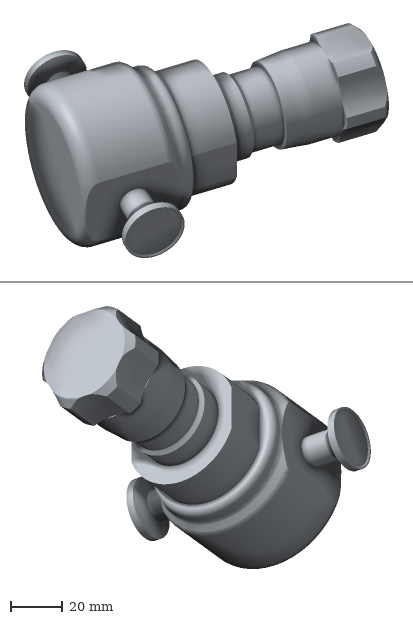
import cadquery as cq


BODY_TOP = 37.15
SHOULDER_TOP = 41.35
BONNET_TOP = 47.7
COLLAR_BOTTOM = 48.3
COLLAR_TOP = 67.5
STEM_CHAMFER_BOTTOM = 77.1
STEM_CHAMFER_TOP = 78.7
SLEEVE_BOTTOM = 91.2
SLEEVE_TAPER_TOP = 102.4
KNOB_BOTTOM = 115.25
KNOB_TOP = 134.3

BODY_RADIUS = 33.275
BONNET_RADIUS = 29.4
NECK_RADIUS = 23.4
COLLAR_RADIUS = 25.4
STEM_BASE_RADIUS = 17.5
STEM_RADIUS = 15.9
SLEEVE_BOTTOM_RADIUS = 18.0
SLEEVE_RADIUS = 19.15
KNOB_RADIUS = 22.1

BASE_FILLET = 6.35
SHOULDER_FILLET = 3.175
KNOB_CHAMFER = 3.0
EDGE_MARGIN = 0.1

BODY_FLAT = 29.5
COLLAR_FLAT = 23.7

SCALLOP_COUNT = 6
SCALLOP_RADIUS = 22.5
SCALLOP_DEPTH_RADIUS = 18.8

PORT_Y = 21.5
PORT_END_X = 98.37 / 2
PORT_TUBE_RADIUS = 6.35
FLANGE_RADIUS = 12.7
FLANGE_RIM = 3.1
FLANGE_THICKNESS = 5.5
FACE_RECESS_RADIUS = 12.05
FACE_RECESS_FLOOR_RADIUS = 11.5
FACE_RECESS_DEPTH = 0.6


def revolve_about_y(points):
    """Solid of revolution about Y from (radius, y) points, closed along the axis."""
    return cq.Workplane("XY").polyline(points).close().revolve(360, (0, 0, 0), (0, 1, 0))


def cylinder(radius, bottom, top):
    """Round bar on the Y axis between two stations."""
    return revolve_about_y([(0, bottom), (radius, bottom), (radius, top), (0, top)])


def cut_side_flats(solid, flat_distance):
    """Keep only the material between two flats facing -X and +X."""
    slab_length = 2 * KNOB_TOP
    return solid.intersect(cq.Workplane("XY").box(2 * flat_distance, slab_length, slab_length))


def circular_edges_at(solid, radius, y):
    """Edges of the turned solid lying at the given radius and station."""
    reach = radius + EDGE_MARGIN
    low_corner = (-reach, y - EDGE_MARGIN, -reach)
    high_corner = (reach, y + EDGE_MARGIN, reach)
    return solid.edges(cq.selectors.BoxSelector(low_corner, high_corner, boundingbox=True))


def make_body():
    body = revolve_about_y([
        (0, 0),
        (BODY_RADIUS, 0),
        (BODY_RADIUS, BODY_TOP),
        (BONNET_RADIUS, SHOULDER_TOP),
        (BONNET_RADIUS, BONNET_TOP),
        (0, BONNET_TOP),
    ])
    body = circular_edges_at(body, BODY_RADIUS, 0).fillet(BASE_FILLET)
    body = circular_edges_at(body, BODY_RADIUS, BODY_TOP).fillet(SHOULDER_FILLET)
    body = circular_edges_at(body, BONNET_RADIUS, SHOULDER_TOP).fillet(SHOULDER_FILLET)
    body = circular_edges_at(body, BONNET_RADIUS, BONNET_TOP).fillet(SHOULDER_FILLET)
    return cut_side_flats(body, BODY_FLAT)


def make_collar():
    neck = cylinder(NECK_RADIUS, BONNET_TOP, COLLAR_BOTTOM)
    collar = cylinder(COLLAR_RADIUS, COLLAR_BOTTOM, COLLAR_TOP)
    return neck.union(cut_side_flats(collar, COLLAR_FLAT))


def make_stem_and_sleeve():
    return revolve_about_y([
        (0, COLLAR_TOP),
        (STEM_BASE_RADIUS, COLLAR_TOP),
        (STEM_BASE_RADIUS, STEM_CHAMFER_BOTTOM),
        (STEM_RADIUS, STEM_CHAMFER_TOP),
        (STEM_RADIUS, SLEEVE_BOTTOM),
        (SLEEVE_BOTTOM_RADIUS, SLEEVE_BOTTOM),
        (SLEEVE_RADIUS, SLEEVE_TAPER_TOP),
        (SLEEVE_RADIUS, KNOB_BOTTOM),
        (0, KNOB_BOTTOM),
    ])


def make_knob():
    knob = cylinder(KNOB_RADIUS, KNOB_BOTTOM, KNOB_TOP).faces(">Y").chamfer(KNOB_CHAMFER)
    scallop = cylinder(SCALLOP_RADIUS, KNOB_BOTTOM, KNOB_TOP)
    scallop = scallop.translate((0, 0, SCALLOP_DEPTH_RADIUS + SCALLOP_RADIUS))
    for index in range(SCALLOP_COUNT):
        angle = index * 360 / SCALLOP_COUNT
        knob = knob.cut(scallop.rotate((0, 0, 0), (0, 1, 0), angle))
    return knob


def make_port():
    """Flanged port on the +X side, turned about its own X axis."""
    recess_floor = PORT_END_X - FACE_RECESS_DEPTH
    port = (
        cq.Workplane("XY")
        .polyline([
            (0, 0),
            (0, PORT_TUBE_RADIUS),
            (PORT_END_X - FLANGE_THICKNESS, PORT_TUBE_RADIUS),
            (PORT_END_X - FLANGE_RIM, FLANGE_RADIUS),
            (PORT_END_X, FLANGE_RADIUS),
            (PORT_END_X, FACE_RECESS_RADIUS),
            (recess_floor, FACE_RECESS_FLOOR_RADIUS),
            (recess_floor, 0),
        ])
        .close()
        .revolve(360, (0, 0, 0), (1, 0, 0))
    )
    return port.translate((0, PORT_Y, 0))


port = make_port()
result = (
    make_body()
    .union(make_collar())
    .union(make_stem_and_sleeve())
    .union(make_knob())
    .union(port)
    .union(port.mirror("YZ"))
)